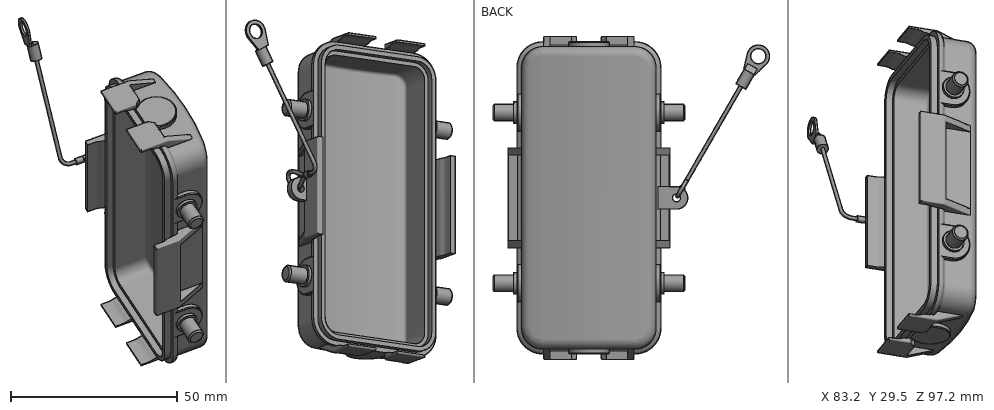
import cadquery as cq
import math


BODY_X = 20.2
BODY_Z = 45.5
BODY_CORNER = 6.4
CROWN_Y = 17.2
CROWN_RADIUS = 85.5
CROWN_FILLET = 2.9
RIM_WIDTH = 1.4
RIM_HEIGHT = 2.0
WALL = 2.6
FLOOR_THICKNESS = 2.4
FLOOR_FILLET = 1

FLANGE_WIDTH = 1.5
FLANGE_REAR_Y = 4.3
FLANGE_SLOPE_DEPTH = 0.6
FLANGE_ROUND = 1.4
FLANGE_ROOT_FILLET = 0.8
FLANGE_X = BODY_X + FLANGE_WIDTH
FLANGE_Z = BODY_Z + FLANGE_WIDTH

PIN_Y = 6.4
PIN_Z = 25.7
PIN_RADIUS = 2.5
PIN_END_X = 28.9
PIN_CHAMFER = 0.5
COLLAR_RADIUS = 3.3
COLLAR_END_X = 22.6
PAD_RADIUS = 5.6
PAD_EDGE = 0.3

DISC_Y = 7.2
DISC_RADIUS = 6.1

TAB_SHOULDER_ROUND = 2.4
TAB_TIP_Y = -4.7
TAB_TAPER_FRONT_Y = -1.6
TAB_TAPER_REAR_Y = 0
TAB_TAPER_STEP = 0.3
TAB_TAPER_ROUND = 3.9
GUSSET_REAR_Y = 12.7
SIDE_TAB_X = 24.4
SIDE_TAB_HALF_LENGTH = 15.1
SIDE_TAB_TIP_THICKNESS = 1.8
SIDE_TAB_EDGE_ROUND = 0.3
SIDE_TAB_SHOULDER_Y = 2.8
SIDE_TAB_REAR_Y = 3.4
SIDE_GUSSET_WIDTH = 2.2
END_TAB_Z = 48.6
END_TAB_INNER_X = 3.7
END_TAB_OUTER_X = 13.6
END_TAB_TIP_THICKNESS = 0.8
END_TAB_EDGE_ROUND = 0.5
END_TAB_SHOULDER_Y = 4.6
END_TAB_REAR_Y = 4.1
END_GUSSET_WIDTH = 1.9

EYE_X = -26.3
EYE_RADIUS = 3.4
EYE_HOLE_RADIUS = 1.2
EYE_FRONT_Y = 1.75
EYE_REAR_Y = 4.1

TETHER_ANGLE = 60
CABLE_RADIUS = 0.6
LOOP_CENTRE = 3.2
LOOP_Y = 3.2
LOOP_RADIUS = 2.5
STRAND_OFFSET = 0.4
CRIMP_REAR_Y = -3.6
CRIMP_FRONT_Y = -6.0
CRIMP_RADIUS = 1
CABLE_Y = -10.5
CABLE_BEND = 3.0
BARREL_START = 38.7
BARREL_END = 43.7
BARREL_RADIUS = 1.75
RING_CENTRE = 49.2
RING_RADIUS = 3.4
RING_HOLE_RADIUS = 2.2
TONGUE_THICKNESS = 0.7
TONGUE_HALF_WIDTH = 1.9
NECK_END = 45.7
NECK_HALF_WIDTH = 1.7


def facing_rear(y):
    """Sketch plane at the given Y; extrusion runs towards +Y, local y is Z."""
    return cq.Plane(origin=(0, y, 0), xDir=(-1, 0, 0), normal=(0, 1, 0))


def edges_at(y):
    """Selector for the edges lying at the given Y."""
    margin = 0.01
    return cq.selectors.BoxSelector(
        (-END_TAB_Z, y - margin, -END_TAB_Z), (END_TAB_Z, y + margin, END_TAB_Z), boundingbox=False
    )


def rounded_block(half_x, half_z, corner, front_y, rear_y):
    block = cq.Workplane(facing_rear(front_y)).rect(2 * half_x, 2 * half_z).extrude(rear_y - front_y)
    return block.edges("|Y").fillet(corner)


def domed_block(half_x, half_z, corner, front_y, crown_y, crown_radius, edge_fillet):
    """Rounded block whose rear is a cylinder along Z, with a filleted rear edge."""
    block = rounded_block(half_x, half_z, corner, front_y, crown_y)
    dome = (
        cq.Workplane("XY", origin=(0, 0, -half_z))
        .center(0, crown_y - crown_radius)
        .circle(crown_radius)
        .extrude(2 * half_z)
    )
    return block.intersect(dome).faces(">Y").edges().fillet(edge_fillet)


def u_plate(plane, radius, reach, thickness):
    """Plate with a round end about the plane origin and a straight arm along local x."""
    return (
        cq.Workplane(plane)
        .moveTo(reach, radius)
        .lineTo(0, radius)
        .threePointArc((-radius, 0), (0, -radius))
        .lineTo(reach, -radius)
        .close()
        .extrude(thickness)
    )


def mirrored_in_x(solid):
    return solid.union(solid.mirror("YZ"))


def mirrored_in_z(solid):
    return solid.union(solid.mirror("XY"))


def make_body():
    """Domed shell blank with a flange whose rear sweeps into the wall in an S-curve."""
    body = domed_block(BODY_X, BODY_Z, BODY_CORNER, 0, CROWN_Y, CROWN_RADIUS, CROWN_FILLET)
    flange = rounded_block(FLANGE_X, FLANGE_Z, BODY_CORNER + FLANGE_WIDTH, RIM_HEIGHT, FLANGE_REAR_Y)
    flange = flange.faces(">Y").chamfer(FLANGE_SLOPE_DEPTH, FLANGE_WIDTH)
    body = body.union(flange)
    body = body.edges(edges_at(FLANGE_REAR_Y)).fillet(FLANGE_ROOT_FILLET)
    return body.edges(edges_at(FLANGE_REAR_Y - FLANGE_SLOPE_DEPTH)).fillet(FLANGE_ROUND)


def make_cavity():
    """Stepped recess at the rim and the hollow behind it, parallel to the outside."""
    recess = rounded_block(
        BODY_X - RIM_WIDTH, BODY_Z - RIM_WIDTH, BODY_CORNER - RIM_WIDTH, 0, RIM_HEIGHT
    )
    hollow = domed_block(
        BODY_X - WALL,
        BODY_Z - WALL,
        BODY_CORNER - WALL,
        0,
        CROWN_Y - FLOOR_THICKNESS,
        CROWN_RADIUS - FLOOR_THICKNESS,
        FLOOR_FILLET,
    )
    return recess.union(hollow)


def make_pin():
    """One pin on the +X, +Z side with its collar and U-shaped pad."""
    inside_x = BODY_X - WALL / 2
    plane = cq.Plane(origin=(inside_x, PIN_Y, PIN_Z), xDir=(0, -1, 0), normal=(1, 0, 0))
    pad = u_plate(plane, PAD_RADIUS, PIN_Y - RIM_HEIGHT, FLANGE_X - inside_x)
    pad = pad.faces(">X").edges().chamfer(PAD_EDGE)
    collar = cq.Workplane(plane).circle(COLLAR_RADIUS).extrude(COLLAR_END_X - inside_x)
    pin = cq.Workplane(plane).circle(PIN_RADIUS).extrude(PIN_END_X - inside_x)
    return pad.union(collar).union(pin.faces(">X").chamfer(PIN_CHAMFER))


def make_end_disc():
    """Round pad on the +Z end, cut off level with the flange front."""
    inside_z = BODY_Z - WALL / 2
    disc = cq.Workplane("XY", origin=(0, DISC_Y, inside_z)).circle(DISC_RADIUS).extrude(FLANGE_Z - inside_z)
    disc = disc.faces(">Z").edges().chamfer(PAD_EDGE)
    front = cq.Workplane("XY").box(4 * DISC_RADIUS, 2 * RIM_HEIGHT, 4 * BODY_Z)
    return disc.cut(front)


def make_tab(start_x, end_x, wall, flange, outer, tip_thickness, shoulder_y, edge_round):
    """Latch tab standing off a +Z wall, sloped back to the wall behind its shoulder."""
    inside = wall - WALL / 2
    tip = outer - tip_thickness
    tab = (
        cq.Workplane(cq.Plane(origin=(start_x, 0, 0), xDir=(0, 1, 0), normal=(1, 0, 0)))
        .moveTo(GUSSET_REAR_Y, wall)
        .lineTo(shoulder_y, outer)
        .lineTo(TAB_TIP_Y, outer)
        .lineTo(TAB_TIP_Y, tip)
        .lineTo(TAB_TAPER_FRONT_Y, tip)
        .lineTo(TAB_TAPER_REAR_Y, flange + TAB_TAPER_STEP)
        .lineTo(RIM_HEIGHT, flange)
        .lineTo(RIM_HEIGHT, inside)
        .lineTo(GUSSET_REAR_Y, inside)
        .close()
        .extrude(end_x - start_x)
    )
    tab = tab.edges("|X").edges(">Z").edges(">Y").fillet(TAB_SHOULDER_ROUND)
    tab = tab.edges(edges_at(TAB_TAPER_FRONT_Y)).edges("|X").fillet(TAB_TAPER_ROUND)

    slope = cq.Vector(0, outer - wall, GUSSET_REAR_Y - shoulder_y).normalized()
    top_faces = tab.faces(">Z").vals() + tab.faces(cq.selectors.ParallelDirSelector(slope)).vals()
    side_edges = tab.newObject(top_faces).edges("not |X")
    return side_edges.add(tab.edges("|X").edges("<Y").edges(">Z")).fillet(edge_round)


def make_side_tab():
    """Latch tab on the +X side with a gusset at both ends."""
    tab = make_tab(
        -SIDE_TAB_HALF_LENGTH,
        SIDE_TAB_HALF_LENGTH,
        BODY_X,
        FLANGE_X,
        SIDE_TAB_X,
        SIDE_TAB_TIP_THICKNESS,
        SIDE_TAB_SHOULDER_Y,
        SIDE_TAB_EDGE_ROUND,
    )
    gap = 2 * (SIDE_TAB_HALF_LENGTH - SIDE_GUSSET_WIDTH)
    pocket = cq.Workplane("XY").box(gap, GUSSET_REAR_Y, SIDE_TAB_X, centered=(True, False, False))
    tab = tab.cut(pocket.translate((0, SIDE_TAB_REAR_Y, BODY_X)))
    return tab.rotate((0, 0, 0), (0, 1, 0), 90)


def make_end_tab():
    """Latch tab on the +X half of the +Z end: one outer gusset, cut clear of the disc."""
    tab = make_tab(
        END_TAB_INNER_X,
        END_TAB_OUTER_X,
        BODY_Z,
        FLANGE_Z,
        END_TAB_Z,
        END_TAB_TIP_THICKNESS,
        END_TAB_SHOULDER_Y,
        END_TAB_EDGE_ROUND,
    )
    pocket = cq.Workplane("XY").box(
        END_TAB_OUTER_X - END_GUSSET_WIDTH, GUSSET_REAR_Y, END_TAB_Z, centered=False
    )
    clearance = cq.Workplane("XY", origin=(0, DISC_Y, BODY_Z)).circle(DISC_RADIUS).extrude(END_TAB_Z)
    return tab.cut(pocket.translate((0, END_TAB_REAR_Y, BODY_Z))).cut(clearance)


def make_eye():
    plane = cq.Plane(origin=(EYE_X, EYE_REAR_Y, 0), xDir=(1, 0, 0), normal=(0, -1, 0))
    plate = u_plate(plane, EYE_RADIUS, -EYE_X - BODY_X, EYE_REAR_Y - EYE_FRONT_Y)
    return plate.faces("<Y").workplane(origin=(EYE_X, 0, 0)).hole(2 * EYE_HOLE_RADIUS)


def tether_direction():
    angle = math.radians(TETHER_ANGLE)
    return cq.Vector(-math.cos(angle), 0, math.sin(angle))


def tether_plane():
    """Plane of the tether: local x runs along it, local y is Y."""
    along = tether_direction()
    return cq.Plane(origin=(EYE_X, 0, 0), xDir=along, normal=along.cross(cq.Vector(0, 1, 0)))


def cable_along(path, start, heading):
    start_plane = cq.Plane(origin=tether_plane().toWorldCoords(start), normal=heading)
    return cq.Workplane(start_plane).circle(CABLE_RADIUS).sweep(path)


def make_cable():
    """Cable loop through the eye, the crimp closing it and the run to the terminal."""
    along = tether_direction()
    rear = cq.Vector(0, 1, 0)
    strand_start = (LOOP_CENTRE + STRAND_OFFSET, CRIMP_REAR_Y)
    strand_end = (LOOP_CENTRE + LOOP_RADIUS, LOOP_Y)
    strand_path = (
        cq.Workplane(tether_plane())
        .spline([strand_start, strand_end], tangents=[(0, 1), (0, 1)])
        .tangentArcPoint((LOOP_CENTRE, LOOP_Y + LOOP_RADIUS), relative=False)
    )
    strand = cable_along(strand_path, strand_start, rear)
    loop = strand.union(strand.mirror(along, tether_plane().toWorldCoords((LOOP_CENTRE, 0))))

    crimp_plane = cq.Plane(
        origin=tether_plane().toWorldCoords((LOOP_CENTRE, CRIMP_FRONT_Y)), xDir=along, normal=rear
    )
    crimp = cq.Workplane(crimp_plane).circle(CRIMP_RADIUS).extrude(CRIMP_REAR_Y - CRIMP_FRONT_Y)

    run_start = (LOOP_CENTRE, CRIMP_REAR_Y)
    run_path = (
        cq.Workplane(tether_plane())
        .moveTo(*run_start)
        .lineTo(LOOP_CENTRE, CABLE_Y + CABLE_BEND)
        .tangentArcPoint((LOOP_CENTRE + CABLE_BEND, CABLE_Y), relative=False)
        .lineTo((BARREL_START + BARREL_END) / 2, CABLE_Y)
    )
    run = cable_along(run_path, run_start, rear.multiply(-1))
    return loop.union(crimp).union(run)


def make_terminal():
    """Ring terminal: barrel, sloped neck and flat tongue with its hole."""
    along = tether_direction()
    tongue_front_y = CABLE_Y - BARREL_RADIUS
    tongue_rear_y = tongue_front_y + TONGUE_THICKNESS

    barrel_plane = cq.Plane(
        origin=tether_plane().toWorldCoords((BARREL_START, CABLE_Y)), xDir=(0, 1, 0), normal=along
    )
    barrel = cq.Workplane(barrel_plane).circle(BARREL_RADIUS).extrude(BARREL_END - BARREL_START)

    neck = (
        cq.Workplane(tether_plane())
        .moveTo(BARREL_END, CABLE_Y)
        .lineTo(NECK_END, tongue_rear_y)
        .lineTo(NECK_END, tongue_front_y)
        .lineTo(BARREL_END, tongue_front_y)
        .close()
        .extrude(NECK_HALF_WIDTH, both=True)
    )

    flat = cq.Plane(
        origin=tether_plane().toWorldCoords((RING_CENTRE, tongue_front_y)), xDir=along, normal=(0, 1, 0)
    )
    root = BARREL_END - RING_CENTRE
    root_distance = math.hypot(root, TONGUE_HALF_WIDTH)
    tangent_angle = math.atan2(TONGUE_HALF_WIDTH, root) - math.acos(RING_RADIUS / root_distance)
    tangent_x = RING_RADIUS * math.cos(tangent_angle)
    tangent_y = RING_RADIUS * math.sin(tangent_angle)
    tongue = (
        cq.Workplane(flat)
        .moveTo(root, TONGUE_HALF_WIDTH)
        .lineTo(tangent_x, tangent_y)
        .threePointArc((RING_RADIUS, 0), (tangent_x, -tangent_y))
        .lineTo(root, -TONGUE_HALF_WIDTH)
        .close()
        .extrude(TONGUE_THICKNESS)
    )
    hole = cq.Workplane(flat).circle(RING_HOLE_RADIUS).extrude(TONGUE_THICKNESS)
    return barrel.union(neck).union(tongue).cut(hole)


cover = (
    make_body()
    .union(mirrored_in_x(mirrored_in_z(make_pin())))
    .union(mirrored_in_z(make_end_disc()))
    .union(mirrored_in_x(make_side_tab()))
    .union(mirrored_in_z(mirrored_in_x(make_end_tab())))
    .cut(make_cavity())
)
result = cover.union(make_eye()).union(make_cable()).union(make_terminal())